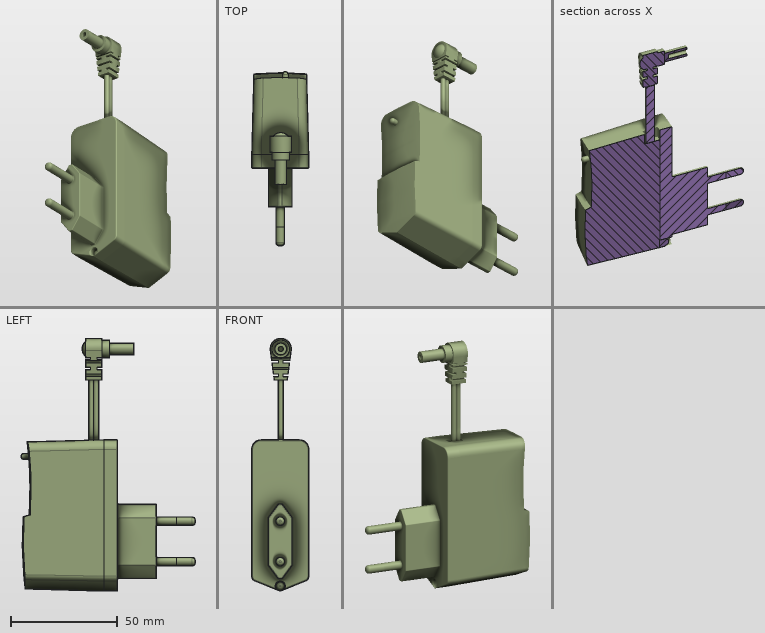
import cadquery as cq
import math


case_width = 26.8
case_height = 71.1
bottom_slope = 22.0
top_corner_radius = 4.5
low_corner_radius = 2.5
cover_depth = 6.5
cover_edge_radius = 0.5
draft_angle = 1.5
shoulder_z = case_width / 2 * math.tan(math.radians(bottom_slope))

back_crown_radius = 130.6
back_arc_radius = 178.1
back_top_y = 42.7
back_step_inner_y = 41.7
back_step_outer_y = 44.5
back_bottom_y = 43.3
back_step_z = 35.9
back_step_drop = 1.0

block_half_width = 5.6
block_flat_half_width = 1.0
block_mid_z = 23.4
block_half_height = 17.5
block_side_half_height = 11.2
block_length = 18.2
block_corner_radius = 0.6
block_edge_radius = 0.4
pin_radius = 2.0
pin_spacing = 19.0
sleeve_length = 9.5
contact_length = 8.8
contact_tip_radius = 1.5
sleeve_root_radius = 0.4
pin_heights = [block_mid_z - pin_spacing / 2, block_mid_z + pin_spacing / 2]
sleeve_end_y = -block_length - sleeve_length

screw_radius = 2.0
screw_z = 2.4
screw_countersink = 0.4
screw_recess = 1.8
screw_head_radius = 1.8

lamp_radius = 1.4
lamp_x = 2.4
lamp_z = 63.3
lamp_tip_y = 45.4
lamp_seat_y = 39.2
lamp_tip_radius = 1.3

cable_x = 0.2
cable_y = 11.3
wire_diameter = 2.5
wire_pitch = 2.3
cable_slot_width = 4.0
cable_slot_length = 7.6
cable_slot_depth = 5.9
cable_slot_floor = case_height - cable_slot_depth

head_radius = 5.0
head_length = 7.6
head_z = 118.7 - head_radius
head_front_y = cable_y - head_length / 2
head_back_y = cable_y + head_length / 2
dome_radius = 3.6
dome_height = 1.7
collar_radius = 4.2
collar_length = 3.7
barrel_radius = 2.7
barrel_length = 11.4
barrel_bore_radius = 1.2
barrel_bore_depth = 9.5
collar_end_y = head_front_y - collar_length
barrel_end_y = collar_end_y - barrel_length

relief_bottom_z = 99.1
relief_bottom_half_width = 3.1
relief_taper = 7.5
side_slots = [(107.2, 108.3), (100.8, 101.9)]
face_slots = [(109.0, 109.7), (104.0, 105.1)]
side_slot_core = 2.1
face_slot_core = 3.2


def rod(radius, x, z, y_start, y_end):
    """Cylinder along Y from y_start to y_end."""
    plane = cq.Plane(origin=(x, y_start, z), xDir=(1, 0, 0), normal=(0, -1, 0))
    return cq.Workplane(plane).circle(radius).extrude(y_start - y_end)


def box(x_range, y_range, z_range):
    """Axis-aligned box given by its limits."""
    size = [high - low for low, high in (x_range, y_range, z_range)]
    corner = (x_range[0], y_range[0], z_range[0])
    return cq.Workplane("XY").box(*size, centered=False).translate(corner)


def make_shell(start_y, depth, taper):
    """Case outline extruded along +Y, narrowing by the taper, with its long edges rounded."""
    half = case_width / 2
    outline = [(0, 0), (half, shoulder_z), (half, case_height), (-half, case_height), (-half, shoulder_z)]
    plane = cq.Plane(origin=(0, start_y, 0), xDir=(-1, 0, 0), normal=(0, 1, 0))
    shell = cq.Workplane(plane).polyline(outline).close().extrude(depth, taper=taper)
    long_edges = shell.edges("not #Y")
    shell = long_edges.edges(">>Z[1]").fillet(low_corner_radius)
    return shell.edges("not #Y").edges(">>Z").fillet(top_corner_radius)


def make_plug_block():
    """Hexagonal block that enters the socket."""
    corners = [
        (block_flat_half_width, block_half_height),
        (block_half_width, block_side_half_height),
        (block_half_width, -block_side_half_height),
        (block_flat_half_width, -block_half_height),
    ]
    corners += [(-x, z) for x, z in reversed(corners)]
    block = cq.Workplane("XZ", origin=(0, 0, block_mid_z)).polyline(corners).close().extrude(block_length)
    block = block.edges("|Y").fillet(block_corner_radius)
    return block.faces("<Y").edges().fillet(block_edge_radius)


def make_cover():
    """Front cover in one piece with the plug block and the pin sleeves."""
    cover = make_shell(0, cover_depth, 0).faces("<Y").edges().fillet(cover_edge_radius)
    cover = cover.union(make_plug_block())
    root = cq.selectors.BoxSelector(
        (-block_half_width - 1.2, -0.01, block_mid_z - block_half_height - 0.1),
        (block_half_width + 1.2, 0.01, block_mid_z + block_half_height + 1.2),
    )
    cover = cover.edges(root).fillet(block_edge_radius)
    for z in pin_heights:
        cover = cover.union(rod(pin_radius, 0, z, 0, sleeve_end_y))
    sleeve_roots = cq.selectors.BoxSelector(
        (-pin_radius, -block_length - 0.01, 0), (pin_radius, -block_length + 0.01, case_height)
    )
    cover = cover.edges(sleeve_roots).edges("%CIRCLE").fillet(sleeve_root_radius)
    countersink = cq.Workplane(
        cq.Solid.makeCone(
            screw_radius + screw_countersink, screw_radius, screw_countersink,
            pnt=cq.Vector(0, 0, screw_z), dir=cq.Vector(0, 1, 0),
        )
    )
    return cover.cut(rod(screw_radius, 0, screw_z, cover_depth, 0)).cut(countersink)


def make_back_limit():
    """Revolved solid whose rim is the crowned, stepped back of the case."""
    axis_y = back_step_outer_y - back_crown_radius
    profile = (
        cq.Workplane("YZ")
        .moveTo(axis_y, 0)
        .lineTo(back_bottom_y, 0)
        .radiusArc((back_step_outer_y, back_step_z - back_step_drop), -back_arc_radius)
        .lineTo(back_step_inner_y, back_step_z)
        .radiusArc((back_top_y, case_height), back_arc_radius)
        .lineTo(axis_y, case_height)
        .close()
    )
    return profile.revolve(360, (axis_y, 0, 0), (axis_y, 1, 0))


def make_rear_case():
    """Tapered rear shell with the cable slot and the lamp seat."""
    case = make_shell(cover_depth, back_step_outer_y, draft_angle).intersect(make_back_limit())
    half_slot = cable_slot_width / 2
    slot = box(
        (cable_x - half_slot, cable_x + half_slot),
        (cover_depth, cover_depth + cable_slot_length),
        (cable_slot_floor, case_height),
    )
    return case.cut(slot).cut(rod(lamp_radius, lamp_x, lamp_z, lamp_tip_y, lamp_seat_y))


def make_contact(z):
    """Round-ended metal contact in front of a sleeve."""
    contact = rod(pin_radius, 0, z, sleeve_end_y, sleeve_end_y - contact_length)
    return contact.faces("<Y").edges().fillet(contact_tip_radius)


def make_screw():
    """Domed screw sunk below the front face."""
    screw = rod(screw_radius, 0, screw_z, cover_depth, screw_recess)
    return screw.faces("<Y").edges().fillet(screw_head_radius)


def make_lamp():
    """Round-ended indicator lamp standing out of the back."""
    lamp = rod(lamp_radius, lamp_x, lamp_z, lamp_tip_y, lamp_seat_y)
    return lamp.faces(">Y").edges().fillet(lamp_tip_radius)


def make_cable():
    """Flat twin cable whose two round strands are fused side by side."""
    length = relief_bottom_z - cable_slot_floor
    strands = [
        cq.Workplane("XY", origin=(cable_x, cable_y + side * wire_pitch / 2, cable_slot_floor))
        .circle(wire_diameter / 2)
        .extrude(length)
        for side in (-1, 1)
    ]
    return strands[0].union(strands[1])


def make_relieved_head():
    """Connector head with its tapered strain relief, notched from alternate sides."""
    angle = math.radians(relief_taper)
    tangent_x = head_radius * math.cos(angle)
    tangent_z = head_z - head_radius * math.sin(angle)
    outline = [
        (-relief_bottom_half_width, relief_bottom_z),
        (relief_bottom_half_width, relief_bottom_z),
        (tangent_x, tangent_z),
        (-tangent_x, tangent_z),
    ]
    relief = cq.Workplane("XZ", origin=(cable_x, head_back_y, 0)).polyline(outline).close().extrude(head_length)
    relief = relief.union(rod(head_radius, cable_x, head_z, head_back_y, head_front_y))
    reach = head_radius
    for z_range in side_slots:
        for side in (-1, 1):
            x_range = sorted((cable_x + side * side_slot_core / 2, cable_x + side * reach))
            relief = relief.cut(box(x_range, (head_front_y, head_back_y), z_range))
    for z_range in face_slots:
        for side in (-1, 1):
            y_range = sorted((cable_y + side * face_slot_core / 2, cable_y + side * reach))
            relief = relief.cut(box((cable_x - reach, cable_x + reach), y_range, z_range))
    return relief


def make_dome():
    """Spherical cap on the back of the connector head."""
    cap_radius = (dome_radius**2 + dome_height**2) / (2 * dome_height)
    profile = (
        cq.Workplane("XY", origin=(cable_x, head_back_y, head_z))
        .lineTo(dome_radius, 0)
        .radiusArc((0, dome_height), -cap_radius)
        .close()
    )
    return profile.revolve(360, (0, 0, 0), (0, 1, 0))


def make_connector():
    """Right-angle connector body: head with strain relief, dome and collar."""
    connector = make_relieved_head().union(make_dome())
    return connector.union(rod(collar_radius, cable_x, head_z, head_front_y, collar_end_y))


def make_barrel():
    """Hollow contact barrel standing on the collar."""
    barrel = rod(barrel_radius, cable_x, head_z, collar_end_y, barrel_end_y)
    return barrel.cut(rod(barrel_bore_radius, cable_x, head_z, barrel_end_y + barrel_bore_depth, barrel_end_y))


cover = make_cover()
rear_case = make_rear_case()
contacts = [make_contact(z) for z in pin_heights]
screw = make_screw()
lamp = make_lamp()
cable = make_cable()
connector = make_connector()
barrel = make_barrel()

result = cq.Compound.makeCompound(
    [
        cover.val(),
        rear_case.val(),
        *[contact.val() for contact in contacts],
        screw.val(),
        lamp.val(),
        cable.val(),
        connector.val(),
        barrel.val(),
    ]
)